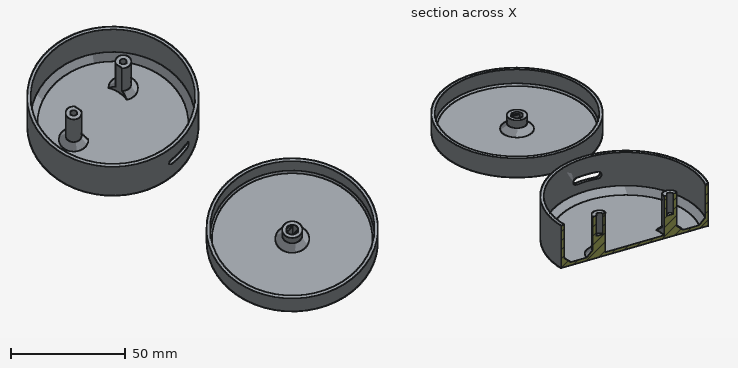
import cadquery as cq

outer_diameter = 75.0
inner_diameter = 72.0
floor_thickness = 2.0
overall_length = 175.0
center_spacing = overall_length - outer_diameter
housing_x = -center_spacing / 2
lid_x = center_spacing / 2

housing_height = 22.0
housing_floor_bevel = 3.0
post_diameter = 7.0
post_hole_diameter = 3.0
post_hole_depth = 10.5
post_flare = 3.0
post_offset_x = -8.0
post_offset_y = 17.5
clearance_radius = 14.5
slot_length = 14.0
slot_height = 3.5
slot_z = 11.5

lid_height = 10.0
lid_floor_bevel = 0.9
boss_diameter = 9.0
boss_top = 9.0
boss_flare = 3.0
shaft_diameter = 5.2
shaft_flat_width = 3.0
shaft_round_depth = 1.0


def disc(x, y, z, diameter, height):
    """Upright cylinder standing on height z."""
    return cq.Workplane("XY", origin=(x, y, z)).circle(diameter / 2).extrude(height)


def cup(x, height, floor_bevel):
    """Round open cup with a bevel between its floor and its wall."""
    inner_radius = inner_diameter / 2
    cavity = (
        cq.Workplane("XZ")
        .moveTo(0, floor_thickness)
        .lineTo(inner_radius - floor_bevel, floor_thickness)
        .lineTo(inner_radius, floor_thickness + floor_bevel)
        .lineTo(inner_radius, height)
        .lineTo(0, height)
        .close()
        .revolve(360, (0, 0), (0, 1))
        .translate((x, 0, 0))
    )
    return disc(x, 0, 0, outer_diameter, height).cut(cavity)


def flared_post(x, y, diameter, top, flare):
    """Round post rising from the cup floor, with a conical foot."""
    radius = diameter / 2
    return (
        cq.Workplane("XZ")
        .moveTo(0, 0)
        .lineTo(radius + flare, 0)
        .lineTo(radius + flare, floor_thickness)
        .lineTo(radius, floor_thickness + flare)
        .lineTo(radius, top)
        .lineTo(0, top)
        .close()
        .revolve(360, (0, 0), (0, 1))
        .translate((x, y, 0))
    )


def make_housing():
    body = cup(housing_x, housing_height, housing_floor_bevel)
    post_x = housing_x + post_offset_x

    clearance = disc(post_x, 0, floor_thickness, 2 * clearance_radius, housing_height)
    for post_y in (-post_offset_y, post_offset_y):
        post = flared_post(post_x, post_y, post_diameter, housing_height, post_flare)
        hole_bottom = housing_height - post_hole_depth
        hole = disc(post_x, post_y, hole_bottom, post_hole_diameter, post_hole_depth)
        body = body.union(post.cut(clearance)).cut(hole)

    slot = (
        cq.Workplane("YZ", origin=(housing_x, 0, slot_z))
        .slot2D(slot_length, slot_height)
        .extrude(outer_diameter)
    )
    return body.cut(slot)


def make_lid():
    boss = flared_post(lid_x, 0, boss_diameter, boss_top, boss_flare)
    body = cup(lid_x, lid_height, lid_floor_bevel).union(boss)

    socket_depth = boss_top - floor_thickness
    flat_bore = disc(lid_x, 0, floor_thickness, shaft_diameter, socket_depth).intersect(
        cq.Workplane("XY", origin=(lid_x, 0, floor_thickness))
        .rect(shaft_flat_width, shaft_diameter)
        .extrude(socket_depth)
    )
    round_mouth = disc(lid_x, 0, boss_top - shaft_round_depth, shaft_diameter, shaft_round_depth)
    return body.cut(flat_bore).cut(round_mouth)


housing = make_housing()
lid = make_lid()

result = cq.Compound.makeCompound([housing.val(), lid.val()])